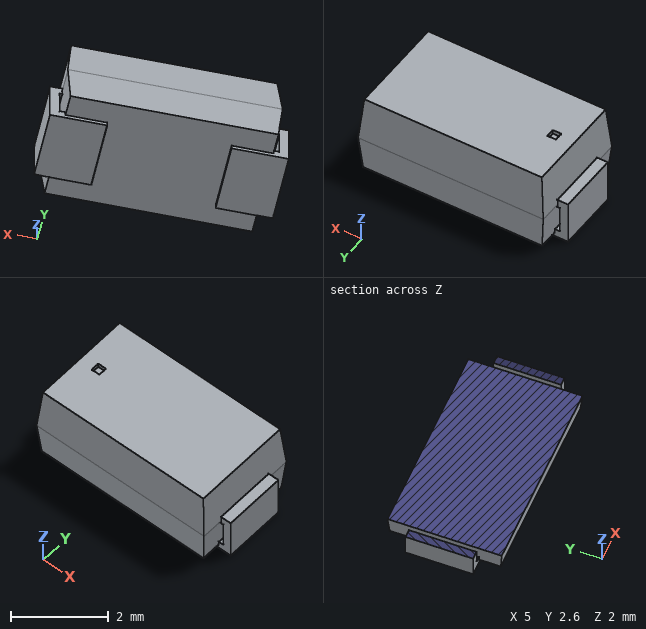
import cadquery as cq
import math

length = 5.0
body_width = 2.6
top_height = 2.0

body_length = 4.5
standoff = 0.1
parting_height = 0.95
draft_angle = 5.0

lead_width = 1.5
lead_thickness = 0.2
lead_height = parting_height + lead_thickness / 2
foot_length = 1.2
arm_embed = 0.25
arm_length = (length - body_length) / 2 + arm_embed

mark_size = 0.205
mark_depth = 0.1
mark_x = -1.685


def make_lead(side):
    """C-shaped lead on the +X (side = 1) or -X (side = -1) end."""
    outer = length / 2
    inner = outer - lead_thickness
    profile = [
        (outer, 0),
        (outer, lead_height),
        (outer - arm_length, lead_height),
        (outer - arm_length, lead_height - lead_thickness),
        (inner, lead_height - lead_thickness),
        (inner, lead_thickness),
        (outer - foot_length, lead_thickness),
        (outer - foot_length, 0),
    ]
    return (
        cq.Workplane("XZ")
        .polyline([(side * x, z) for x, z in profile])
        .close()
        .extrude(lead_width / 2, both=True)
    )


def make_half(height):
    """Half of the housing, narrowing away from the parting plane; negative height goes down."""
    inset = abs(height) * math.tan(math.radians(draft_angle))
    return (
        cq.Workplane("XY", origin=(0, 0, parting_height))
        .rect(body_length, body_width)
        .workplane(offset=height)
        .rect(body_length - 2 * inset, body_width - 2 * inset)
        .loft(ruled=True)
    )


def make_housing(leads):
    """Drafted housing with the polarity mark and a matching recess for each lead."""
    upper = make_half(top_height - parting_height)
    lower = make_half(standoff - parting_height)
    housing = upper.union(lower)
    mark = cq.Workplane("XY", origin=(mark_x, 0, top_height)).rect(mark_size, mark_size).extrude(-mark_depth)
    housing = housing.cut(mark)
    for lead in leads:
        housing = housing.cut(lead)
    return housing


leads = [make_lead(side) for side in (-1, 1)]
housing = make_housing(leads)

result = cq.Compound.makeCompound([*housing.solids().vals(), *[lead.val() for lead in leads]])